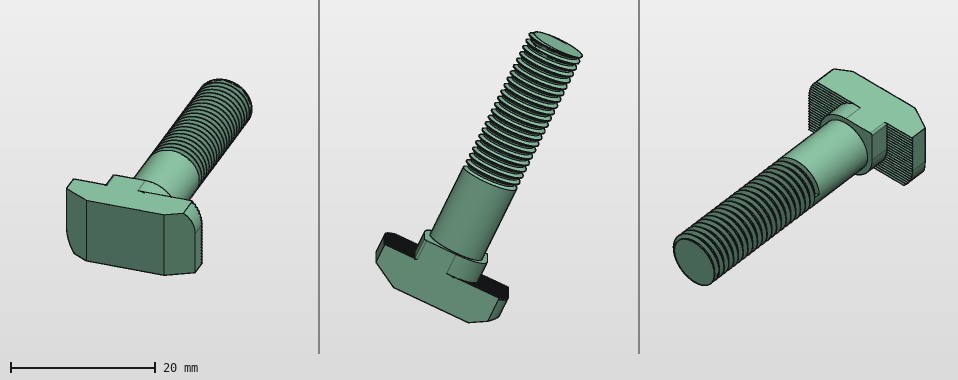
import cadquery as cq
import math

BOLT_LENGTH = 40.0

HEAD_WIDTH = 19.0
HEAD_HEIGHT = 9.7
HEAD_DEPTH = 5.0
BEVEL_WIDTH = 3.75
BEVEL_ANGLE = 30.0
CORNER_ARC_START = 1.4
CORNER_RADIUS = HEAD_HEIGHT / 2

SERRATION_COUNT = 20
SERRATION_PITCH = HEAD_HEIGHT / SERRATION_COUNT
SERRATION_DEPTH = SERRATION_PITCH / 2

NECK_WIDTH = HEAD_HEIGHT
NECK_LENGTH = 3.0
NECK_EDGE_RADIUS = 0.3

SHANK_DIAMETER = 8.0
THREAD_PITCH = 1.0
THREAD_START = 18.55
FLANK_SLOPE = math.tan(math.radians(30))
ROOT_FLAT = THREAD_PITCH / 4
CREST_FLAT = THREAD_PITCH / 8
THREAD_DEPTH = (THREAD_PITCH - ROOT_FLAT - CREST_FLAT) / 2 / FLANK_SLOPE
CUT_CLEARANCE = 0.05

half_width = HEAD_WIDTH / 2
half_height = HEAD_HEIGHT / 2
shank_radius = SHANK_DIAMETER / 2
shoulder = HEAD_DEPTH + NECK_LENGTH
thread_length = THREAD_PITCH * (math.ceil((BOLT_LENGTH - THREAD_START) / THREAD_PITCH) + 1)


def along_y(start):
    """Workplane at Y = start with local axes +X and +Z; negative extrusion goes along +Y."""
    return cq.Workplane(cq.Plane(origin=(0, start, 0), xDir=(1, 0, 0), normal=(0, -1, 0)))


def beveled_plan():
    """Head seen along Z: a bar whose two front corners are beveled."""
    bevel_depth = BEVEL_WIDTH * math.tan(math.radians(BEVEL_ANGLE))
    flat_half = half_width - BEVEL_WIDTH
    return (
        cq.Workplane("XY")
        .polyline([
            (-flat_half, 0),
            (flat_half, 0),
            (half_width, bevel_depth),
            (half_width, HEAD_DEPTH),
            (-half_width, HEAD_DEPTH),
            (-half_width, bevel_depth),
        ])
        .close()
        .extrude(half_height, both=True)
    )


def rounded_end_profile():
    """Head seen along Y: two diagonally opposite corners are rounded by arcs tangent to the ends."""
    arc_center_x = half_width - CORNER_RADIUS
    rise = half_height - CORNER_ARC_START
    end_angle = math.asin(rise / CORNER_RADIUS)
    arc_end_x = arc_center_x + CORNER_RADIUS * math.cos(end_angle)
    arc_mid_x = arc_center_x + CORNER_RADIUS * math.cos(end_angle / 2)
    arc_mid_z = CORNER_ARC_START + CORNER_RADIUS * math.sin(end_angle / 2)
    return (
        along_y(0)
        .moveTo(half_width, -half_height)
        .lineTo(half_width, CORNER_ARC_START)
        .threePointArc((arc_mid_x, arc_mid_z), (arc_end_x, half_height))
        .lineTo(-half_width, half_height)
        .lineTo(-half_width, -CORNER_ARC_START)
        .threePointArc((-arc_mid_x, -arc_mid_z), (-arc_end_x, -half_height))
        .close()
        .extrude(-HEAD_DEPTH)
    )


def serration_grooves():
    """V grooves along X across the underside of the head, with crests on its top and bottom faces."""
    outline = cq.Workplane("YZ").moveTo(HEAD_DEPTH, -half_height)
    for index in range(SERRATION_COUNT):
        crest = -half_height + index * SERRATION_PITCH
        outline = outline.lineTo(HEAD_DEPTH - SERRATION_DEPTH, crest + SERRATION_PITCH / 2)
        outline = outline.lineTo(HEAD_DEPTH, crest + SERRATION_PITCH)
    outline = outline.lineTo(HEAD_DEPTH + SERRATION_DEPTH, half_height)
    outline = outline.lineTo(HEAD_DEPTH + SERRATION_DEPTH, -half_height)
    return outline.close().extrude(half_width, both=True)


def neck():
    """Neck with two opposite corners fully rounded about the axis and two lightly rounded."""
    radius = NECK_WIDTH / 2
    diagonal = radius * math.sqrt(0.5)
    inner = radius - NECK_EDGE_RADIUS
    edge_mid = inner + NECK_EDGE_RADIUS * math.sqrt(0.5)
    root = HEAD_DEPTH - 2 * SERRATION_DEPTH
    return (
        along_y(root)
        .moveTo(0, radius)
        .threePointArc((diagonal, diagonal), (radius, 0))
        .lineTo(radius, -inner)
        .threePointArc((edge_mid, -edge_mid), (inner, -radius))
        .lineTo(0, -radius)
        .threePointArc((-diagonal, -diagonal), (-radius, 0))
        .lineTo(-radius, inner)
        .threePointArc((-edge_mid, edge_mid), (-inner, radius))
        .close()
        .extrude(root - shoulder)
    )


def thread_groove():
    """Right-hand helical groove that starts abruptly on the -X side and runs out of the tip."""
    root_half = ROOT_FLAT / 2
    outer_half = root_half + (THREAD_DEPTH + CUT_CLEARANCE) * FLANK_SLOPE
    root_radius = shank_radius - THREAD_DEPTH
    outer_radius = shank_radius + CUT_CLEARANCE
    path = cq.Wire.makeHelix(THREAD_PITCH, thread_length, shank_radius)
    groove = (
        cq.Workplane("XZ")
        .polyline([
            (root_radius, -root_half),
            (outer_radius, -outer_half),
            (outer_radius, outer_half),
            (root_radius, root_half),
        ])
        .close()
        .sweep(cq.Workplane(path), isFrenet=True)
    )
    return (
        groove.rotate((0, 0, 0), (0, 0, 1), 180)
        .rotate((0, 0, 0), (1, 0, 0), -90)
        .translate((0, THREAD_START, 0))
    )


def threaded_shank():
    """Shank cut from an overlong blank, so the groove ends inside it, then trimmed square at the tip."""
    blank_end = THREAD_START + thread_length + 2 * THREAD_PITCH
    blank = along_y(shoulder).circle(shank_radius).extrude(shoulder - blank_end)
    offcut = along_y(BOLT_LENGTH).circle(SHANK_DIAMETER).extrude(BOLT_LENGTH - blank_end)
    return blank.cut(thread_groove()).cut(offcut)


head = beveled_plan().intersect(rounded_end_profile()).cut(serration_grooves())

result = head.union(neck()).union(threaded_shank())